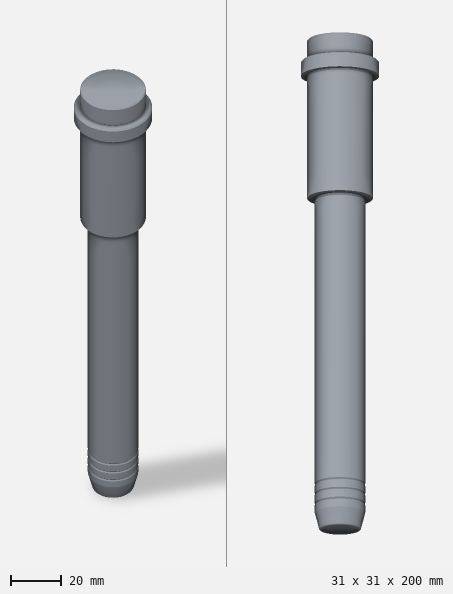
import cadquery as cq

total_length = 200.0
head_radius = 13.0
collar_radius = 15.5
shaft_radius = 10.0
collar_top = total_length - 8.5
collar_bottom = total_length - 14.5
head_bottom = total_length - 64.5
collar_chamfer = 0.5
head_chamfer = 0.5

upper_relief_width = 0.5
lower_relief_width = 1.2
relief_depth = 0.2

neck_radius = 9.5
neck_length = 1.2

groove_width = 1.0
groove_depth = 0.5
lowest_groove = 10.5
groove_pitch = 4.0
groove_count = 3

taper_length = 7.0
tip_radius = 8.2
tip_fillet = 0.8


def cylinder(radius, bottom, top):
    """Solid cylinder on the Z axis between two heights."""
    return cq.Workplane("XY").workplane(offset=bottom).circle(radius).extrude(top - bottom)


def vee_ring(outer_radius, depth, height, width):
    """Diamond-section ring that cuts a V groove, centred at a height, into a cylinder."""
    return (
        cq.Workplane("XZ")
        .moveTo(outer_radius - depth, height)
        .lineTo(outer_radius, height + width / 2)
        .lineTo(outer_radius + depth, height)
        .lineTo(outer_radius, height - width / 2)
        .close()
        .revolve(360, (0, 0), (0, 1))
    )


def make_head():
    head = cylinder(head_radius, head_bottom, total_length).edges(">Z").chamfer(head_chamfer)
    upper_height = collar_top + upper_relief_width / 2
    lower_height = collar_bottom - lower_relief_width / 2
    head = head.cut(vee_ring(head_radius, relief_depth, upper_height, upper_relief_width))
    return head.cut(vee_ring(head_radius, relief_depth, lower_height, lower_relief_width))


def make_collar():
    return cylinder(collar_radius, collar_bottom, collar_top).edges(">Z").chamfer(collar_chamfer)


def make_shaft():
    neck_bottom = head_bottom - neck_length
    profile = (
        cq.Workplane("XZ")
        .moveTo(0, 0)
        .lineTo(tip_radius, 0)
        .lineTo(shaft_radius, taper_length)
        .lineTo(shaft_radius, neck_bottom)
        .lineTo(neck_radius, neck_bottom)
        .lineTo(neck_radius, head_bottom)
        .lineTo(0, head_bottom)
        .close()
    )
    shaft = profile.revolve(360, (0, 0), (0, 1)).edges("<Z").fillet(tip_fillet)
    for index in range(groove_count):
        height = lowest_groove + index * groove_pitch
        shaft = shaft.cut(vee_ring(shaft_radius, groove_depth, height, groove_width))
    return shaft


result = make_head().union(make_collar()).union(make_shaft())